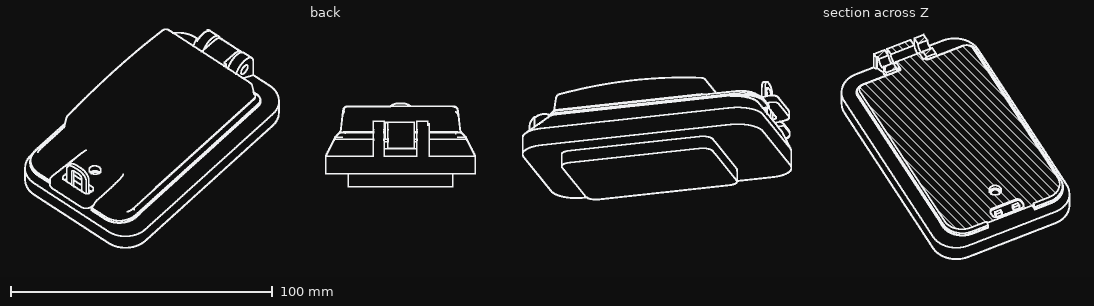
import cadquery as cq
import math

base_half_width = 28.61
base_end = 47.65
wall_height = 6.9
base_top = 13.2
base_corner = 10.0

shoulder_half_width = 25.3
shoulder_front = -45.0
shoulder_back = 36.9
shoulder_front_corner = 9.7
shoulder_back_corner = 3.9

plug_half_width = 20.0
plug_front = -27.0
plug_back = 33.1
plug_depth = 4.9
plug_corner = 4.0

hinge_radius = 5.3
hinge_y = base_end - hinge_radius
hinge_z = 14.9
hinge_hole_diameter = 4.0
ear_inner = 6.3
ear_outer = 10.4
ear_pad = 0.6
ear_groove_width = 6.5
barrel_radius = 4.8
barrel_y = base_end - barrel_radius
barrel_z = 14.6
barrel_left = -5.3
barrel_right = 4.8
arm_right = 5.8
arm_rise = 0.3
barrel_clearance = 0.2

lip_half_width = shoulder_half_width
lip_back = shoulder_back
lip_front_corner = 8.5
lip_back_corner = shoulder_back_corner
lip_height = 0.8
lip_skirt = 0.3
skirt_start = -36.8
lid_top = 15.7
lip_draft = 0.3
bevel_side = 1.9
bevel_front = 2.65
bevel_back = 1.6
deck_edge_fillet = 0.8
deck_edge_blend = 0.3

dome_half_width = 23.0
dome_front = -26.4
dome_back = 34.8
dome_draft = 6.5
dome_block_height = 11.8
crown_front_z = 23.4
crown_peak_y = 2.0
crown_peak_z = 25.9
crown_back_z = 23.0
crown_fillet = 1.9
dome_foot_fillet = 1.2
arm_root = dome_back - 1.0

tab_half_width = 9.96
tab_root = dome_front - dome_foot_fillet
overall_length = 98.1
tab_front = base_end - overall_length
tab_rise = 2.7
tab_thickness = 3.1
tab_corner = 2.9
tab_edge_fillet = 0.9
slot_length = 13.1
slot_width = 4.6
slot_y = -43.7
slot_corner = 1.6
seal_y = -33.7
seal_hole_diameter = 4.5
seal_base_diameter = 3.2
seal_base_depth = 3.9

loop_half_width = 4.96
loop_leg = 2.5
loop_top = 27.0
loop_back = -43.2
loop_thickness = 1.4
loop_outer_corner = 3.9
loop_inner_corner = 1.6


def block(x_min, x_max, y_min, y_max, z_min, z_max):
    """Box given by its limits along each axis."""
    return (
        cq.Workplane("XY")
        .box(x_max - x_min, y_max - y_min, z_max - z_min, centered=False)
        .translate((x_min, y_min, z_min))
    )


def outline(half_width, front, back, front_corner, back_corner, z):
    """Closed wire: rectangle with one radius at the front corners and one at the back."""
    front_inset = front_corner * (1 - math.sqrt(0.5))
    back_inset = back_corner * (1 - math.sqrt(0.5))
    return (
        cq.Workplane("XY", origin=(0, 0, z))
        .moveTo(-half_width + front_corner, front)
        .lineTo(half_width - front_corner, front)
        .threePointArc((half_width - front_inset, front + front_inset), (half_width, front + front_corner))
        .lineTo(half_width, back - back_corner)
        .threePointArc((half_width - back_inset, back - back_inset), (half_width - back_corner, back))
        .lineTo(-half_width + back_corner, back)
        .threePointArc((-half_width + back_inset, back - back_inset), (-half_width, back - back_corner))
        .lineTo(-half_width, front + front_corner)
        .threePointArc((-half_width + front_inset, front + front_inset), (-half_width + front_corner, front))
        .close()
    )


def ruled_solid(lower, upper):
    """Solid with straight walls between two outlines."""
    return cq.Workplane(cq.Solid.makeLoft([lower.wires().val(), upper.wires().val()], True))


def cylinder_x(radius, y, z, x_min, x_max):
    """Cylinder along X about the axis through (y, z)."""
    return (
        cq.Workplane("YZ", origin=(x_min, 0, 0))
        .center(y, z)
        .circle(radius)
        .extrude(x_max - x_min)
    )


def hinge_ear(x_min, x_max):
    """Upright lug with a round top, rising from the back of the base."""
    foot = block(x_min, x_max, hinge_y - hinge_radius, base_end, wall_height / 2, hinge_z)
    return foot.union(cylinder_x(hinge_radius, hinge_y, hinge_z, x_min, x_max))


def lock_loop():
    """Flat staple that passes through the latch slot."""
    outer = block(
        -loop_half_width, loop_half_width, loop_back - loop_thickness, loop_back, base_top - 1, loop_top
    ).edges("|Y and >Z").fillet(loop_outer_corner)
    inner_half = loop_half_width - loop_leg
    opening = block(
        -inner_half, inner_half, loop_back - loop_thickness, loop_back, base_top, loop_top - loop_leg + 0.2
    ).edges("|Y and >Z").fillet(loop_inner_corner)
    return outer.cut(opening)


def base_shell():
    """Base body without hinge, loop or holes."""
    wall = outline(base_half_width, -base_end, base_end, base_corner, base_corner, 0).extrude(wall_height)
    shoulder = ruled_solid(
        outline(base_half_width, -base_end, base_end, base_corner, base_corner, wall_height),
        outline(
            shoulder_half_width, shoulder_front, shoulder_back,
            shoulder_front_corner, shoulder_back_corner, base_top,
        ),
    )
    plug = outline(
        plug_half_width, plug_front, plug_back, plug_corner, plug_corner, -plug_depth
    ).extrude(plug_depth)
    return wall.union(shoulder).union(plug)


def make_base():
    body = base_shell()
    body = body.union(hinge_ear(-ear_outer - ear_pad, -ear_inner)).union(hinge_ear(ear_inner, ear_outer))
    groove_half = ear_groove_width / 2
    groove = block(
        -ear_outer - ear_pad, -ear_outer,
        hinge_y - groove_half, hinge_y + groove_half, wall_height, hinge_z + hinge_radius,
    ).cut(base_shell())
    body = body.cut(groove)
    body = body.cut(cylinder_x(hinge_hole_diameter / 2, hinge_y, hinge_z, -ear_outer - ear_pad, ear_outer))
    body = body.cut(cylinder_x(barrel_radius + barrel_clearance, barrel_y, barrel_z, -ear_inner, ear_inner))
    seal_hole = (
        cq.Workplane("XY", origin=(0, seal_y, base_top))
        .circle(seal_base_diameter / 2)
        .extrude(-seal_base_depth)
    )
    return body.cut(seal_hole).union(lock_loop())


def lip_outline(inset, z):
    """Outer edge of the lid lip, moved inward by the inset."""
    return outline(
        lip_half_width - inset, -base_end + inset, lip_back - inset,
        lip_front_corner - inset, lip_back_corner - inset, z,
    )


def deck_outline(inset, z):
    """Edge of the flat lid deck, inside the bevel, moved inward by the inset."""
    return outline(
        lip_half_width - bevel_side - inset,
        -base_end + bevel_front + inset,
        lip_back - bevel_back - inset,
        lip_front_corner - bevel_side - inset,
        lip_back_corner - bevel_back - inset,
        z,
    )


def lid_rim():
    """Bevelled plate with a lip that hangs over the front of the base."""
    bevel_start = base_top + lip_height
    lip = ruled_solid(lip_outline(0, base_top), lip_outline(lip_draft, bevel_start))
    bevel = ruled_solid(lip_outline(lip_draft, bevel_start), deck_outline(0, lid_top))
    plate = lip.union(bevel).faces(">Z").edges().fillet(deck_edge_fillet)
    front_zone = block(-base_half_width, base_half_width, -base_end, skirt_start, 0, base_top)
    skirt = lip_outline(0, base_top - lip_skirt).extrude(lip_skirt).intersect(front_zone).cut(base_shell())
    return plate.union(skirt)


def dome():
    """Drafted cover with an arched crown and a filleted foot that ends at the deck edge."""
    cover = (
        cq.Workplane("XY", origin=(0, (dome_front + dome_back) / 2, lid_top))
        .rect(2 * dome_half_width, dome_back - dome_front)
        .extrude(dome_block_height, taper=dome_draft)
    )
    under_crown = (
        cq.Workplane("YZ", origin=(-dome_half_width, 0, 0))
        .moveTo(dome_front, lid_top)
        .lineTo(dome_front, crown_front_z)
        .threePointArc((crown_peak_y, crown_peak_z), (dome_back, crown_back_z))
        .lineTo(dome_back, lid_top)
        .close()
        .extrude(2 * dome_half_width)
    )
    cover = cover.intersect(under_crown).edges("not(<Z)").fillet(crown_fillet)
    foot_plate = block(-base_half_width, base_half_width, -base_end, base_end, base_top, lid_top)
    foot_loop = cq.selectors.BoxSelector(
        (-dome_half_width - 1, dome_front - 1, lid_top - 0.1),
        (dome_half_width + 1, dome_back + 1, lid_top + 0.1),
    )
    cover = cover.union(foot_plate).edges(foot_loop).fillet(dome_foot_fillet)
    return cover.intersect(deck_outline(deck_edge_blend, base_top).extrude(loop_top))


def side_prism(points, x_min, x_max):
    """Prism along X over a polygon of (y, z) points."""
    return cq.Workplane("YZ", origin=(x_min, 0, 0)).polyline(points).close().extrude(x_max - x_min)


def hinge_arm():
    """Barrel between the ears and the web that joins it to the dome."""
    barrel_top = barrel_z + barrel_radius
    web = side_prism(
        [
            (barrel_y, barrel_z),
            (barrel_y, barrel_top),
            (arm_root, barrel_top + arm_rise),
            (arm_root, base_top),
            (lip_back, base_top),
        ],
        barrel_left, arm_right,
    )
    side_relief = block(barrel_right, arm_right, lip_back, base_end, base_top, loop_top)
    barrel = cylinder_x(barrel_radius, barrel_y, barrel_z, barrel_left, barrel_right)
    return web.cut(side_relief).union(barrel)


def below_tab():
    """Space under the tab, from its sloped underside down."""
    floor = base_top - lip_skirt
    return side_prism(
        [
            (tab_root, floor),
            (tab_root, lid_top - tab_thickness),
            (tab_front, lid_top + tab_rise - tab_thickness),
            (tab_front, floor),
        ],
        -tab_half_width, tab_half_width,
    )


def latch_tab():
    """Sloped tab with rounded corners and a rounded upper edge."""
    slab = side_prism(
        [
            (tab_root, lid_top - tab_thickness),
            (tab_root, lid_top),
            (tab_front, lid_top + tab_rise),
            (tab_front, lid_top + tab_rise - tab_thickness),
        ],
        -tab_half_width, tab_half_width,
    )
    slab = slab.edges("|Z and <Y").fillet(tab_corner)
    surface_normal = cq.Vector(0, tab_rise / (tab_root - tab_front), 1)
    surface = cq.selectors.DirectionMinMaxSelector(surface_normal, True)
    slab = slab.faces(surface).edges("not(>Y)").fillet(tab_edge_fillet)
    above_base = block(-tab_half_width, tab_half_width, tab_front, tab_root, base_top, loop_top)
    return slab.intersect(above_base)


def make_lid():
    body = lid_rim().cut(below_tab()).union(dome().cut(below_tab()))
    body = body.union(latch_tab()).union(hinge_arm())
    body = body.cut(cylinder_x(hinge_hole_diameter / 2, hinge_y, hinge_z, barrel_left, barrel_right))
    slot = block(
        -slot_length / 2, slot_length / 2, slot_y - slot_width / 2, slot_y + slot_width / 2, base_top, loop_top
    ).edges("|Z").fillet(slot_corner)
    seal_hole = (
        cq.Workplane("XY", origin=(0, seal_y, base_top)).circle(seal_hole_diameter / 2).extrude(loop_top)
    )
    return body.cut(slot).cut(seal_hole)


base = make_base()
lid = make_lid()
result = cq.Compound.makeCompound([base.solids().val(), lid.solids().val()])